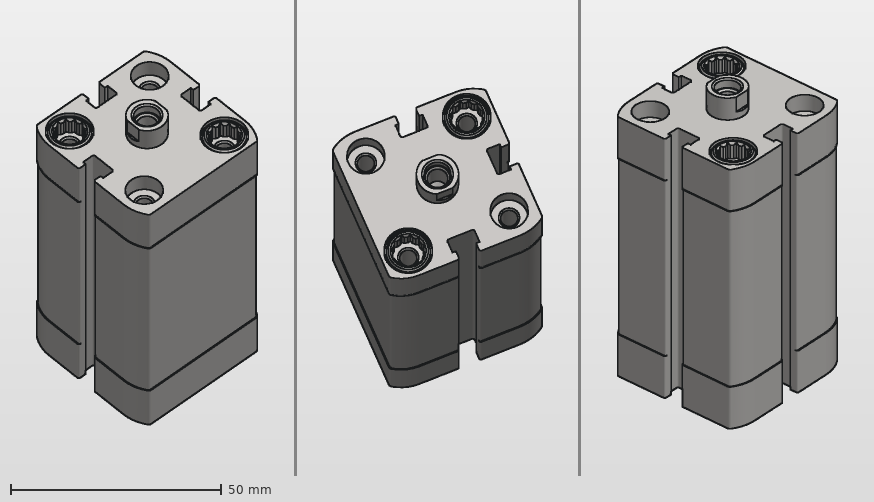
import cadquery as cq
import math

TOTAL_HEIGHT = 80.3
WIDTH = 39.5
ROD_PROJECTION = 6.3
HOUSING_HEIGHT = TOTAL_HEIGHT - ROD_PROJECTION
HALF_WIDTH = WIDTH / 2

CAP_HEIGHT = 12.0
PROFILE_INSET = 0.25
CORNER_ARC_RADIUS = 11.25
CORNER_BLEND_RADIUS = 1.0

SLOT_ANGLES = (0, 90, 180)
SLOT_MOUTH_WIDTH = 5.2
SLOT_INNER_WIDTH = 7.0
SLOT_DEPTH = 5.7
SLOT_LIP_DEPTH = 2.25
SLOT_MOUTH_RADIUS = 0.5
SLOT_FLOOR_RADIUS = 0.5

HOLE_OFFSET = 13.0
THROUGH_DIAMETER = 4.1
THROUGH_RIM_DIAMETER = 5.0
POCKET_DEPTH = 4.65
COUNTERBORE_DIAMETER = 9.0
COUNTERBORE_CORNERS = ((-HOLE_OFFSET, HOLE_OFFSET), (HOLE_OFFSET, -HOLE_OFFSET))
SOCKET_CORNERS = ((HOLE_OFFSET, HOLE_OFFSET), (-HOLE_OFFSET, -HOLE_OFFSET))

SOCKET_POINTS = 12
SOCKET_RIDGE_DIAMETER = 7.5
SOCKET_RIDGE_WIDTH = 0.8
SOCKET_POINT_DIAMETER = 8.3
SOCKET_MOUTH_DIAMETER = 8.5
SOCKET_MOUTH_DEPTH = 0.8
GROOVE_OUTER_DIAMETER = 11.5
GROOVE_INNER_DIAMETER = 10.5
COLLAR_TOP_DIAMETER = 9.55
COLLAR_BEVEL_DEPTH = 0.5
GROOVE_DEPTH = 1.2

ROD_DIAMETER = 10.0
ROD_BOTTOM = HOUSING_HEIGHT - CAP_HEIGHT
FLAT_SPACING = 9.15
FLAT_LENGTH = 4.2
FLAT_RUNOUT = 0.25
ROD_MOUTH_DIAMETER = 7.5
ROD_MOUTH_DEPTH = 0.3
ROD_RECESS_DIAMETER = 6.4
ROD_RECESS_DEPTH = 2.5
ROD_TAPER_DIAMETER = 5.95
ROD_BORE_DIAMETER = 4.9
ROD_TAPER_DEPTH = 0.6
ROD_BORE_DEPTH = 11.25
DRILL_POINT_ANGLE = 118


def outline_prism(inset, bottom, height):
    """Prism with the rounded outline, moved inward by the inset."""
    half = HALF_WIDTH - inset
    radius = CORNER_ARC_RADIUS - inset
    run = half - HOLE_OFFSET
    centre_y = half - radius
    side_y = centre_y + math.sqrt(radius**2 - run**2)
    prism = (
        cq.Workplane("XY", origin=(0, 0, bottom))
        .moveTo(-HOLE_OFFSET, half)
        .lineTo(HOLE_OFFSET, half)
        .radiusArc((half, side_y), radius)
        .lineTo(half, -side_y)
        .radiusArc((HOLE_OFFSET, -half), radius)
        .lineTo(-HOLE_OFFSET, -half)
        .radiusArc((-half, -side_y), radius)
        .lineTo(-half, side_y)
        .radiusArc((-HOLE_OFFSET, half), radius)
        .close()
        .extrude(height)
    )
    side_edges = prism.edges("|Z").edges("<X or >X")
    return side_edges.fillet(CORNER_BLEND_RADIUS)


def slot_cutter(inset, bottom, height):
    """T-slot opening in the +Y side, with a mouth rounded into that side."""
    face = HALF_WIDTH - inset
    floor = HALF_WIDTH - SLOT_DEPTH
    lip = HALF_WIDTH - SLOT_LIP_DEPTH
    mouth = SLOT_MOUTH_WIDTH / 2
    inner = SLOT_INNER_WIDTH / 2
    cutter = (
        cq.Workplane("XY", origin=(0, 0, bottom))
        .moveTo(-mouth - SLOT_MOUTH_RADIUS, face)
        .radiusArc((-mouth, face - SLOT_MOUTH_RADIUS), SLOT_MOUTH_RADIUS)
        .lineTo(-mouth, lip)
        .lineTo(-inner, lip)
        .lineTo(-inner, floor)
        .lineTo(inner, floor)
        .lineTo(inner, lip)
        .lineTo(mouth, lip)
        .lineTo(mouth, face - SLOT_MOUTH_RADIUS)
        .radiusArc((mouth + SLOT_MOUTH_RADIUS, face), SLOT_MOUTH_RADIUS)
        .close()
        .extrude(height)
    )
    return cutter.edges("|Z").edges("<Y").fillet(SLOT_FLOOR_RADIUS)


def slotted_section(inset, bottom, height):
    section = outline_prism(inset, bottom, height)
    cutter = slot_cutter(inset, bottom, height)
    for angle in SLOT_ANGLES:
        section = section.cut(cutter.rotate((0, 0, 0), (0, 0, 1), angle))
    return section


def cylinder(diameter, bottom, top):
    return cq.Workplane("XY", origin=(0, 0, bottom)).circle(diameter / 2).extrude(top - bottom)


def cone(bottom_diameter, top_diameter, bottom, top):
    solid = cq.Solid.makeCone(bottom_diameter / 2, top_diameter / 2, top - bottom, cq.Vector(0, 0, bottom))
    return cq.Workplane(solid)


def through_hole():
    """Screw hole through the whole housing, with a bevelled rim at the pocket floor."""
    floor = HOUSING_HEIGHT - POCKET_DEPTH
    rim_depth = (THROUGH_RIM_DIAMETER - THROUGH_DIAMETER) / 2
    rim = cone(THROUGH_DIAMETER, THROUGH_RIM_DIAMETER, floor - rim_depth, floor)
    return cylinder(THROUGH_DIAMETER, 0, floor).union(rim)


def counterbored_hole():
    floor = HOUSING_HEIGHT - POCKET_DEPTH
    return through_hole().union(cylinder(COUNTERBORE_DIAMETER, floor, HOUSING_HEIGHT))


def polar_point(radius, angle):
    return (radius * math.cos(angle), radius * math.sin(angle))


def socket_outline():
    """Star with flat ridges between its points, the first point lying on the X axis."""
    ridge_radius = SOCKET_RIDGE_DIAMETER / 2
    pitch = 2 * math.pi / SOCKET_POINTS
    ridge_half_angle = math.asin(SOCKET_RIDGE_WIDTH / 2 / ridge_radius)
    points = []
    for index in range(SOCKET_POINTS):
        point_angle = index * pitch
        ridge_angle = point_angle + pitch / 2
        points.append(polar_point(SOCKET_POINT_DIAMETER / 2, point_angle))
        points.append(polar_point(ridge_radius, ridge_angle - ridge_half_angle))
        points.append(polar_point(ridge_radius, ridge_angle + ridge_half_angle))
    return points


def socket_hole():
    """Screw hole topped by a twelve-point socket with a bevelled mouth."""
    floor = HOUSING_HEIGHT - POCKET_DEPTH
    mouth_bottom = HOUSING_HEIGHT - SOCKET_MOUTH_DEPTH
    socket = cq.Workplane("XY", origin=(0, 0, floor)).polyline(socket_outline()).close().extrude(POCKET_DEPTH)
    mouth = cone(SOCKET_RIDGE_DIAMETER, SOCKET_MOUTH_DIAMETER, mouth_bottom, HOUSING_HEIGHT)
    return through_hole().union(socket).union(mouth)


def collar_groove():
    """Ring groove around a collar whose top edge is bevelled."""
    floor = HOUSING_HEIGHT - GROOVE_DEPTH
    bevel_bottom = HOUSING_HEIGHT - COLLAR_BEVEL_DEPTH
    bevel = cone(GROOVE_INNER_DIAMETER, COLLAR_TOP_DIAMETER, bevel_bottom, HOUSING_HEIGHT)
    collar = cylinder(GROOVE_INNER_DIAMETER, floor, bevel_bottom).union(bevel)
    return cylinder(GROOVE_OUTER_DIAMETER, floor, HOUSING_HEIGHT).cut(collar)


def make_housing():
    middle_height = HOUSING_HEIGHT - 2 * CAP_HEIGHT
    housing = slotted_section(0, 0, CAP_HEIGHT)
    housing = housing.union(slotted_section(PROFILE_INSET, CAP_HEIGHT, middle_height))
    housing = housing.union(slotted_section(0, HOUSING_HEIGHT - CAP_HEIGHT, CAP_HEIGHT))
    for x, y in COUNTERBORE_CORNERS:
        housing = housing.cut(counterbored_hole().translate((x, y, 0)))
    for x, y in SOCKET_CORNERS:
        housing = housing.cut(socket_hole().translate((x, y, 0)))
        housing = housing.cut(collar_groove().translate((x, y, 0)))
    return housing.cut(cylinder(ROD_DIAMETER, ROD_BOTTOM, HOUSING_HEIGHT))


def rod_bore():
    """Stepped blind bore, drawn as a half section and turned about the rod axis."""
    bore_radius = ROD_BORE_DIAMETER / 2
    recess_radius = ROD_RECESS_DIAMETER / 2
    bore_end = TOTAL_HEIGHT - ROD_BORE_DEPTH
    tip_depth = bore_radius / math.tan(math.radians(DRILL_POINT_ANGLE / 2))
    recess_floor = TOTAL_HEIGHT - ROD_RECESS_DEPTH
    return (
        cq.Workplane("XZ")
        .polyline([
            (0, bore_end - tip_depth),
            (bore_radius, bore_end),
            (bore_radius, recess_floor - ROD_TAPER_DEPTH),
            (ROD_TAPER_DIAMETER / 2, recess_floor),
            (recess_radius, recess_floor),
            (recess_radius, TOTAL_HEIGHT - ROD_MOUTH_DEPTH),
            (ROD_MOUTH_DIAMETER / 2, TOTAL_HEIGHT),
            (0, TOTAL_HEIGHT),
        ])
        .close()
        .revolve(360, (0, 0, 0), (0, 1, 0))
    )


def rod_flat_cutter():
    """Removes the -Y side of the rod tip; the lower end of the flat slopes outward and down."""
    flat_y = -FLAT_SPACING / 2
    rod_y = -ROD_DIAMETER / 2
    flat_bottom = TOTAL_HEIGHT - FLAT_LENGTH
    return (
        cq.Workplane("YZ")
        .polyline([
            (flat_y, TOTAL_HEIGHT),
            (flat_y, flat_bottom),
            (rod_y, flat_bottom - FLAT_RUNOUT),
            (rod_y, TOTAL_HEIGHT),
        ])
        .close()
        .extrude(ROD_DIAMETER / 2, both=True)
    )


def make_rod():
    rod = cylinder(ROD_DIAMETER, ROD_BOTTOM, TOTAL_HEIGHT)
    flat = rod_flat_cutter()
    return rod.cut(flat).cut(flat.mirror("XZ")).cut(rod_bore())


housing = make_housing()
rod = make_rod()
result = cq.Compound.makeCompound([housing.val(), rod.val()])